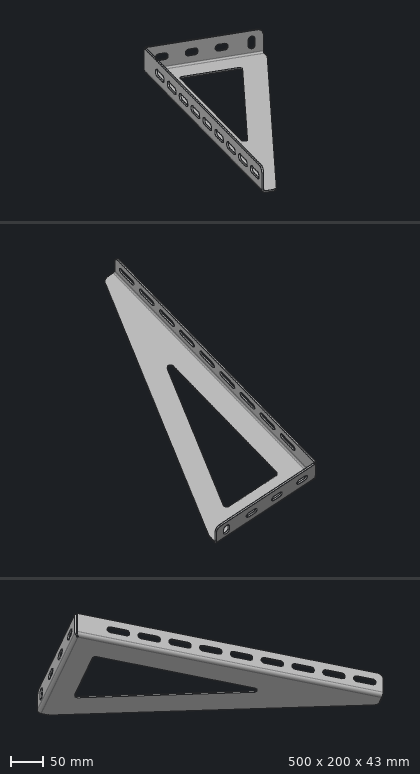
import cadquery as cq
import math

length = 500.0
width = 200.0
height = 43.0

thickness = 3.0
outer_bend = 2 * thickness
inner_bend = outer_bend - thickness
corner_gap = 0.5
flange_start = thickness + corner_gap
flange_corner_radius = 10.0

slope = math.tan(math.radians(20))
web_flat_end = 18.5
web_nose_radius = 10.0
window_band = 40.0
window_left = window_band + thickness
window_bottom = window_band + thickness
window_radius = 5.0

slot_width = 11.0
slot_pitch = 50.0
slot_height = 23.0
long_slot_length = 36.0
long_slot_first_x = 70.0
long_slot_count = 9
short_slot_length = 21.0
short_slot_first_y = 30.0
short_slot_count = 3


def sloping_edge_y(x, inset=0.0):
    """Y of the sloping edge at x, or of a line parallel to it moved inwards."""
    return width - slope * (x - web_flat_end) - inset * math.hypot(1, slope)


def make_web():
    """Flat triangular sheet with a rounded nose and a triangular window."""
    web = (
        cq.Workplane("XY")
        .polyline([
            (outer_bend, outer_bend),
            (length, outer_bend),
            (length, sloping_edge_y(length)),
            (web_flat_end, width),
            (outer_bend, width),
        ])
        .close()
        .extrude(thickness)
    )
    nose = cq.selectors.NearestToPointSelector((length, sloping_edge_y(length), thickness / 2))
    web = web.edges("|Z").edges(nose).fillet(web_nose_radius)

    window_top = sloping_edge_y(window_left, window_band)
    window_tip = window_left + (window_top - window_bottom) / slope
    window = (
        cq.Workplane("XY")
        .polyline([
            (window_left, window_bottom),
            (window_tip, window_bottom),
            (window_left, window_top),
        ])
        .close()
        .extrude(thickness)
        .edges("|Z")
        .fillet(window_radius)
    )
    return web.cut(window)


def make_flange(profile_plane, run):
    """Bend and upright flange of the given run, drawn with its outer face at zero."""
    half_bend = math.sqrt(0.5)
    outer_mid = outer_bend * (1 - half_bend)
    inner_mid = outer_bend - inner_bend * half_bend
    return (
        cq.Workplane(profile_plane)
        .moveTo(outer_bend, 0)
        .threePointArc((outer_mid, outer_mid), (0, outer_bend))
        .lineTo(0, height)
        .lineTo(thickness, height)
        .lineTo(thickness, outer_bend)
        .threePointArc((inner_mid, inner_mid), (outer_bend, thickness))
        .close()
        .extrude(run)
    )


def make_slots(plane, centers, slot_length, angle=0):
    """Cutters for round-ended slots, passing through a flange."""
    return (
        cq.Workplane(plane)
        .pushPoints(centers)
        .slot2D(slot_length, slot_width, angle)
        .extrude(thickness)
    )


def make_front_flange():
    """Long flange along X, with a row of long slots."""
    profile_plane = cq.Plane(origin=(flange_start, 0, 0), xDir=(0, 1, 0), normal=(1, 0, 0))
    face_plane = cq.Plane(origin=(0, 0, 0), xDir=(-1, 0, 0), normal=(0, 1, 0))
    flange = make_flange(profile_plane, length - flange_start)
    flange = flange.edges("|Y and >X and >Z").fillet(flange_corner_radius)
    centers = [(-long_slot_first_x - i * slot_pitch, slot_height) for i in range(long_slot_count)]
    return flange.cut(make_slots(face_plane, centers, long_slot_length))


def make_side_flange():
    """Short flange along Y, with a row of short slots and one upright slot at the far end."""
    profile_plane = cq.Plane(origin=(0, width, 0), xDir=(1, 0, 0), normal=(0, -1, 0))
    flange = make_flange(profile_plane, width - flange_start)
    flange = flange.edges("|X and >Y and >Z").fillet(flange_corner_radius)
    centers = [(short_slot_first_y + i * slot_pitch, slot_height) for i in range(short_slot_count)]
    upright_center = (short_slot_first_y + short_slot_count * slot_pitch, slot_height)
    flange = flange.cut(make_slots("YZ", centers, short_slot_length))
    return flange.cut(make_slots("YZ", [upright_center], short_slot_length, angle=90))


result = make_web().union(make_front_flange()).union(make_side_flange())